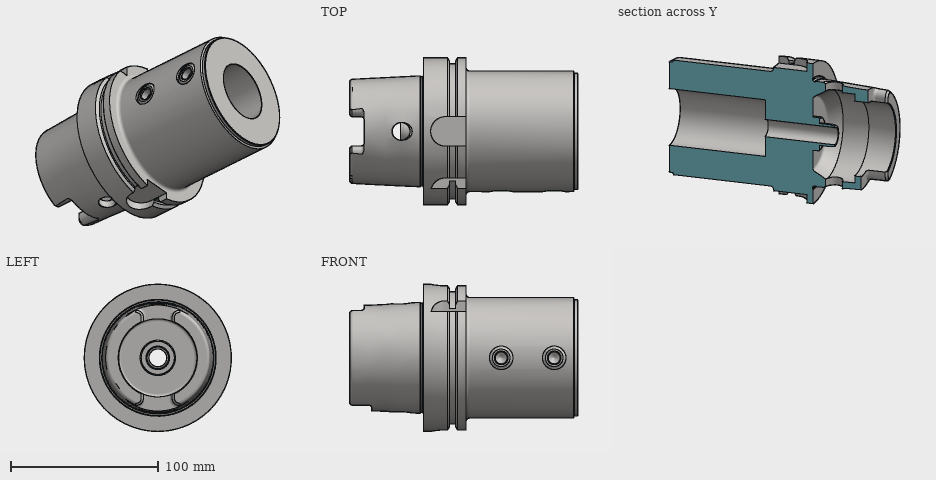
import cadquery as cq
import math


TOTAL_LENGTH = 155.0
SHANK_LENGTH = 50.0
FLANGE_LENGTH = 29.0
FRONT_X = -SHANK_LENGTH
REAR_X = TOTAL_LENGTH - SHANK_LENGTH

NECK_LENGTH = 2.3
NECK_R = 37.2
NECK_CHAMFER = 0.8
NECK_FLOOR_END_X = -0.6
TAPER_SLOPE = 0.05
TAPER_END_R = 75.5 / 2
TAPER_START_R = TAPER_END_R - TAPER_SLOPE * (SHANK_LENGTH - NECK_LENGTH)
FACE_RECESS_INNER_R = 38.1
FACE_RECESS_R = 39.7
FACE_RECESS_DEPTH = 0.5
FRONT_ROUND = 2.0

FLANGE_R = 100.0 / 2
GROOVE_R = 46.0
GROOVE_CENTRE_X = 19.8
GROOVE_FLOOR_WIDTH = 3.9
GROOVE_FLARE = 1.5
GROOVE_FLARE_DEPTH = 2.3

BODY_R = 82.0 / 2
BODY_FILLET = 2.5
REAR_LIP_R = 39.5
REAR_LIP_LENGTH = 2.5
REAR_STEP_LENGTH = 0.5
REAR_CHAMFER = 0.5

MOUTH_R = 53.8 / 2
ENTRY_R = 53.0 / 2
CAVITY_R = 63.0 / 2
MOUTH_CHAMFER_LENGTH = 0.6
CLAMP_SHOULDER_X = -30.0
CAVITY_END_X = -9.5
CAVITY_CONE_ANGLE = 30
CAVITY_FLOOR_R = 24.6
CAVITY_FILLET = 2.2

COLLAR_R = 24.0 / 2
COLLAR_X = -4.6
COLLAR_CHAMFER = 0.8
TUBE_R = 16.0 / 2
TUBE_TIP_R = 14.5 / 2
TUBE_TIP_X = -15.7
TUBE_CONE_LENGTH = 3.0
COOLANT_R = 12.0 / 2

BORE_R = 40.0 / 2
BORE_MOUTH_R = 40.5 / 2
BORE_DEPTH = 69.8

NOTCH_WIDTH = 19.5
NOTCH_SHELF_Z = 32.2
NOTCH_LIP_R = 4.6
NOTCH_FLOOR_FILLET = 2.0
NOTCH_FLARE = 1.5
NOTCH_FLARE_ANGLE = 45
UPPER_NOTCH_DEPTH = 9.9
LOWER_NOTCH_DEPTH = 15.0

RADIAL_HOLE_R = 12.0 / 2
RADIAL_HOLE_X = -15.0
RADIAL_SINK_Z = 36.6
RADIAL_SINK_ANGLE = 60

KEY_WIDTH = 20.0
KEY_START_X = 5.0
KEY_FLOOR_Z = 44.0
ORIENT_FLOOR_Z = 31.5
ORIENT_WALL_Y = -31.6

SCREW_XS = (52.9, 88.8)
SCREW_R = 16.0 / 2
SCREW_TIP_R = 12.0 / 2
SCREW_TIP_DEPTH = 0.6
SCREW_CONE_LENGTH = 1.1
SOCKET_MOUTH_R = 9.3 / 2
SOCKET_R = 8.0 / 2
SOCKET_DEPTH = 6.2
DRILL_POINT_ANGLE = 59

CLEARANCE = 3.1


def revolve_x(points):
    """Solid of revolution about X from (x, radius) points."""
    return cq.Workplane("XY").polyline(points).close().revolve(360, (0, 0, 0), (1, 0, 0))


def outer_body():
    """Shank, flange and cylindrical body as one turned solid."""
    floor_start = GROOVE_CENTRE_X - GROOVE_FLOOR_WIDTH / 2
    floor_end = GROOVE_CENTRE_X + GROOVE_FLOOR_WIDTH / 2
    flare_r = FLANGE_R - GROOVE_FLARE_DEPTH
    lip_x = REAR_X - REAR_LIP_LENGTH
    fillet_centre_x = FLANGE_LENGTH + BODY_FILLET
    fillet_centre_r = BODY_R + BODY_FILLET
    fillet_mid = BODY_FILLET * math.sqrt(0.5)
    round_mid = FRONT_ROUND * math.sqrt(0.5)
    return (
        cq.Workplane("XY")
        .moveTo(FRONT_X, 0)
        .lineTo(FRONT_X, TAPER_START_R - FRONT_ROUND)
        .threePointArc(
            (FRONT_X + FRONT_ROUND - round_mid, TAPER_START_R - FRONT_ROUND + round_mid),
            (FRONT_X + FRONT_ROUND, TAPER_START_R + TAPER_SLOPE * FRONT_ROUND),
        )
        .lineTo(-NECK_LENGTH, TAPER_END_R)
        .lineTo(NECK_CHAMFER - NECK_LENGTH, NECK_R)
        .lineTo(NECK_FLOOR_END_X, NECK_R)
        .lineTo(FACE_RECESS_DEPTH, FACE_RECESS_INNER_R)
        .lineTo(FACE_RECESS_DEPTH, FACE_RECESS_R - FACE_RECESS_DEPTH)
        .lineTo(0, FACE_RECESS_R)
        .lineTo(0, FLANGE_R)
        .lineTo(floor_start - GROOVE_FLARE, FLANGE_R)
        .lineTo(floor_start, flare_r)
        .lineTo(floor_start, GROOVE_R)
        .lineTo(floor_end, GROOVE_R)
        .lineTo(floor_end, flare_r)
        .lineTo(floor_end + GROOVE_FLARE, FLANGE_R)
        .lineTo(FLANGE_LENGTH, FLANGE_R)
        .lineTo(FLANGE_LENGTH, fillet_centre_r)
        .threePointArc(
            (fillet_centre_x - fillet_mid, fillet_centre_r - fillet_mid),
            (fillet_centre_x, BODY_R),
        )
        .lineTo(lip_x - REAR_STEP_LENGTH, BODY_R)
        .lineTo(lip_x, REAR_LIP_R)
        .lineTo(REAR_X - REAR_CHAMFER, REAR_LIP_R)
        .lineTo(REAR_X, REAR_LIP_R - REAR_CHAMFER)
        .lineTo(REAR_X, 0)
        .close()
        .revolve(360, (0, 0, 0), (1, 0, 0))
    )


def clamping_cavity():
    """Undercut cavity whose coned end is filleted into a flat floor, less the coolant tube."""
    angle = math.radians(CAVITY_CONE_ANGLE)
    half_turn = (math.pi / 2 + angle) / 2
    cone_end_r = CAVITY_FLOOR_R + CAVITY_FILLET * math.cos(angle)
    cone_end_x = CAVITY_END_X + (CAVITY_R - cone_end_r) / math.tan(angle)
    fillet_centre_x = cone_end_x - CAVITY_FILLET * math.sin(angle)
    floor_x = fillet_centre_x + CAVITY_FILLET
    fillet_mid = (
        fillet_centre_x + CAVITY_FILLET * math.sin(half_turn),
        CAVITY_FLOOR_R + CAVITY_FILLET * math.cos(half_turn),
    )
    cavity = (
        cq.Workplane("XY")
        .moveTo(FRONT_X, 0)
        .lineTo(FRONT_X, MOUTH_R)
        .lineTo(FRONT_X + MOUTH_CHAMFER_LENGTH, ENTRY_R)
        .lineTo(CLAMP_SHOULDER_X, ENTRY_R)
        .lineTo(CLAMP_SHOULDER_X, CAVITY_R)
        .lineTo(CAVITY_END_X, CAVITY_R)
        .lineTo(cone_end_x, cone_end_r)
        .threePointArc(fillet_mid, (floor_x, CAVITY_FLOOR_R))
        .lineTo(floor_x, 0)
        .close()
        .revolve(360, (0, 0, 0), (1, 0, 0))
    )
    return cavity.cut(coolant_tube(floor_x))


def coolant_tube(base_x):
    """Solid tube and collar; the coolant channel is cut with the tool bore."""
    return revolve_x([
        (base_x, 0),
        (base_x, COLLAR_R),
        (COLLAR_X + COLLAR_CHAMFER, COLLAR_R),
        (COLLAR_X, COLLAR_R - COLLAR_CHAMFER),
        (COLLAR_X, TUBE_R),
        (TUBE_TIP_X + TUBE_CONE_LENGTH, TUBE_R),
        (TUBE_TIP_X, TUBE_TIP_R),
        (TUBE_TIP_X, 0),
    ])


def tool_bore():
    """Tool bore from the rear, joined to the coolant channel."""
    bore_floor_x = REAR_X - BORE_DEPTH
    mouth_chamfer = BORE_MOUTH_R - BORE_R
    return revolve_x([
        (TUBE_TIP_X, 0),
        (TUBE_TIP_X, COOLANT_R),
        (bore_floor_x, COOLANT_R),
        (bore_floor_x, BORE_R),
        (REAR_X - mouth_chamfer, BORE_R),
        (REAR_X, BORE_MOUTH_R),
        (REAR_X, 0),
    ])


def notch_outline(x):
    """Slot that opens through rounded lips onto a flat shelf, drawn in the plane at x."""
    half = NOTCH_WIDTH / 2
    lip_y = half + NOTCH_LIP_R
    lip_z = NOTCH_SHELF_Z - NOTCH_LIP_R
    mid = NOTCH_LIP_R * (1 - math.sqrt(0.5))
    return (
        cq.Workplane("YZ", origin=(x, 0, 0))
        .moveTo(-half, 0)
        .lineTo(-half, lip_z)
        .threePointArc((-half - mid, NOTCH_SHELF_Z - mid), (-lip_y, NOTCH_SHELF_Z))
        .lineTo(-FLANGE_R, NOTCH_SHELF_Z)
        .lineTo(-FLANGE_R, FLANGE_R)
        .lineTo(FLANGE_R, FLANGE_R)
        .lineTo(FLANGE_R, NOTCH_SHELF_Z)
        .lineTo(lip_y, NOTCH_SHELF_Z)
        .threePointArc((half + mid, NOTCH_SHELF_Z - mid), (half, lip_z))
        .lineTo(half, 0)
        .close()
    )


def drive_notch(depth):
    """Cutter for the upper notch, flared at the front and filleted at its floor."""
    slot = notch_outline(FRONT_X).extrude(depth).faces(">X").edges().fillet(NOTCH_FLOOR_FILLET)
    flare = notch_outline(FRONT_X + NOTCH_FLARE).extrude(-NOTCH_FLARE, taper=-NOTCH_FLARE_ANGLE)
    return slot.union(flare)


def radial_hole():
    """Upper radial hole with a countersink that bites mainly on the thick side of the taper."""
    sink_r = RADIAL_HOLE_R + CLEARANCE * math.tan(math.radians(RADIAL_SINK_ANGLE))
    profile = [
        (0, ENTRY_R),
        (RADIAL_HOLE_R, ENTRY_R),
        (RADIAL_HOLE_R, RADIAL_SINK_Z),
        (sink_r, RADIAL_SINK_Z + CLEARANCE),
        (0, RADIAL_SINK_Z + CLEARANCE),
    ]
    hole = cq.Workplane("XZ").polyline(profile).close().revolve(360, (0, 0, 0), (0, 1, 0))
    return hole.translate((RADIAL_HOLE_X, 0, 0))


def flange_slot(centre_y, floor_z):
    """Slot with a round end, cut down to floor_z and open toward the body."""
    radius = KEY_WIDTH / 2
    end_x = KEY_START_X + radius
    height = FLANGE_R + CLEARANCE - floor_z
    return (
        cq.Workplane("XY", origin=(0, centre_y, floor_z))
        .moveTo(FLANGE_LENGTH, -radius)
        .lineTo(end_x, -radius)
        .threePointArc((KEY_START_X, 0), (end_x, radius))
        .lineTo(FLANGE_LENGTH, radius)
        .close()
        .extrude(height)
    )


def screw_recess(x):
    """Gap around the coned screw tip, and the drilled socket in it."""
    tip = BODY_R - SCREW_TIP_DEPTH
    cone_base = tip - SCREW_CONE_LENGTH
    socket_chamfer = SOCKET_MOUTH_R - SOCKET_R
    socket_floor = tip - SOCKET_DEPTH
    point = socket_floor - SOCKET_R / math.tan(math.radians(DRILL_POINT_ANGLE))
    profile = [
        (0, point),
        (SOCKET_R, socket_floor),
        (SOCKET_R, tip - socket_chamfer),
        (SOCKET_MOUTH_R, tip),
        (SCREW_TIP_R, tip),
        (SCREW_R, cone_base),
        (SCREW_R, BODY_R + CLEARANCE),
        (0, BODY_R + CLEARANCE),
    ]
    recess = cq.Workplane("XY").polyline(profile).close().revolve(360, (0, 0, 0), (0, 1, 0))
    return recess.mirror("XZ").translate((x, 0, 0))


holder = outer_body()

upper_notch = drive_notch(UPPER_NOTCH_DEPTH)
lower_notch = drive_notch(LOWER_NOTCH_DEPTH).mirror("XY")
holder = holder.cut(upper_notch).cut(lower_notch)
holder = holder.cut(clamping_cavity()).cut(tool_bore())

hole = radial_hole()
holder = holder.cut(hole).cut(hole.mirror("XY"))

keyway = flange_slot(0, KEY_FLOOR_Z)
holder = holder.cut(keyway).cut(keyway.mirror("XY"))
holder = holder.cut(flange_slot(ORIENT_WALL_Y - KEY_WIDTH / 2, ORIENT_FLOOR_Z))

for screw_x in SCREW_XS:
    holder = holder.cut(screw_recess(screw_x))

result = holder